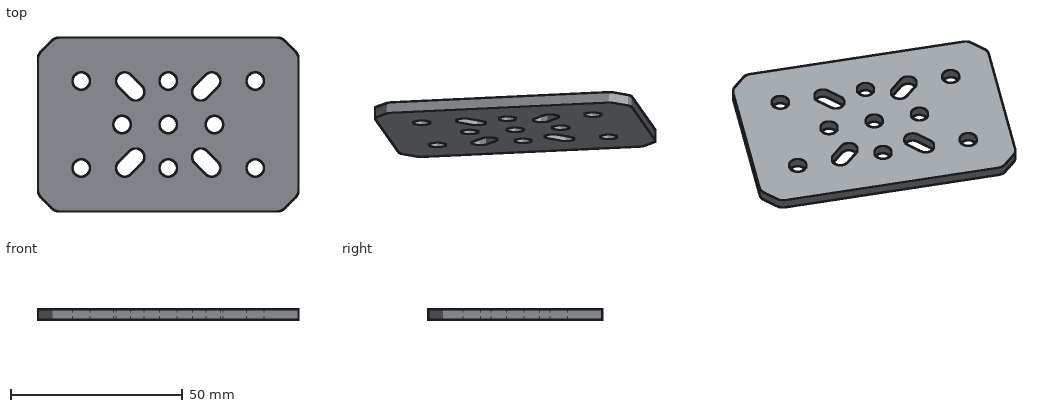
import cadquery as cq
import math

length = 76.2
width = 50.8
thickness = 3.2
corner_chamfer = 5.0
corner_blend_radius = 3.0

hole_diameter = 5.0
pitch = length / 6
side_hole_offset = 13.5

slot_inner = 9.5
slot_outer = pitch
slot_angle = 45


def make_plate():
    """Rectangular plate with chamfered corners whose edges are blended."""
    plate = cq.Workplane("XY").box(length, width, thickness)
    plate = plate.edges("|Z").chamfer(corner_chamfer)
    return plate.edges("|Z").fillet(corner_blend_radius)


def cut_holes(plate):
    """Cut the round through holes."""
    centres = [(x * pitch, y * pitch) for x in (-2, 0, 2) for y in (-1, 1)]
    centres += [(x * side_hole_offset, 0) for x in (-1, 0, 1)]
    return plate.faces(">Z").workplane().pushPoints(centres).hole(hole_diameter)


def cut_slots(plate):
    """Cut one through slot along the diagonal of each quadrant."""
    slot_middle = (slot_inner + slot_outer) / 2
    diagonal_ratio = math.sqrt(2)
    slot_length = (slot_outer - slot_inner) * diagonal_ratio + hole_diameter
    for x_side in (-1, 1):
        for y_side in (-1, 1):
            plate = (
                plate.faces(">Z")
                .workplane(origin=(0, 0, 0))
                .center(x_side * slot_middle, y_side * slot_middle)
                .slot2D(slot_length, hole_diameter, slot_angle * x_side * y_side)
                .cutThruAll()
            )
    return plate


result = cut_slots(cut_holes(make_plate()))